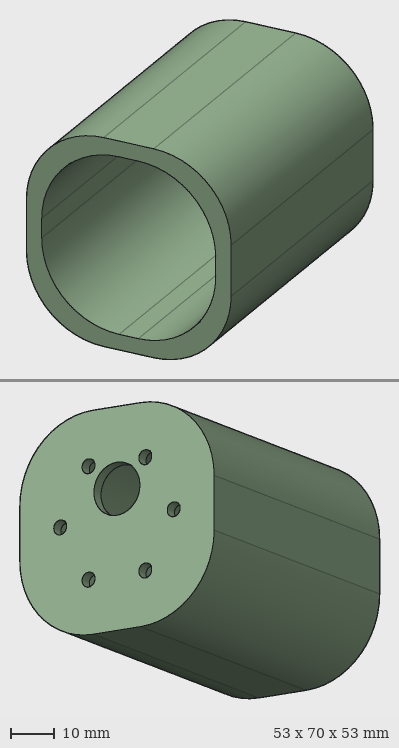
import cadquery as cq

length = 70.0
outer_width = 53.0
wall = 4.0
corner_radius = 20.0
end_plate = 3.0

shaft_hole_diameter = 12.5
shaft_hole_offset = 7.0
screw_hole_diameter = 3.5
screw_circle_radius = 15.5
screw_count = 6

inner_width = outer_width - 2 * wall
cavity_depth = length - end_plate


def rounded_bar(width, depth):
    """Square bar with rounded long edges, running from Y = 0 toward +Y."""
    bar = cq.Workplane("XY").box(width, depth, width, centered=(True, False, True))
    return bar.edges("|Y").fillet(corner_radius)


def front_plane():
    """Sketch plane at the open end; its local X and Y are the part's X and Z."""
    return cq.Workplane("XZ")


housing = rounded_bar(outer_width, length).cut(rounded_bar(inner_width, cavity_depth))

shaft_hole = (
    front_plane()
    .center(0, shaft_hole_offset)
    .circle(shaft_hole_diameter / 2)
    .extrude(-length)
)

screw_holes = (
    front_plane()
    .polarArray(screw_circle_radius, 0, 360, screw_count)
    .circle(screw_hole_diameter / 2)
    .extrude(-length)
)

result = housing.cut(shaft_hole).cut(screw_holes)